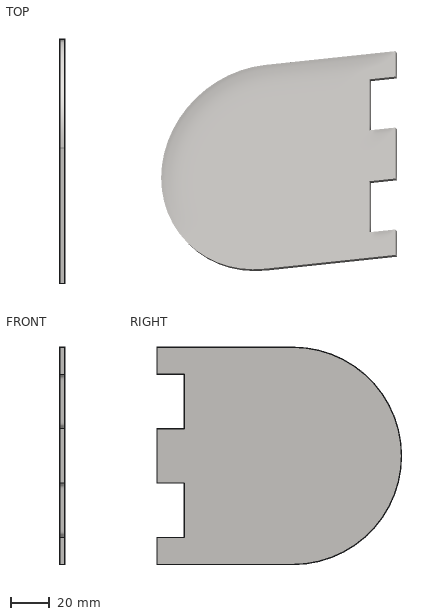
import cadquery as cq

thickness = 2.8
height = 112.0
straight_length = 70.0
notch_depth = 14.0
notch_height = 28.0
notch_pitch = 56.0

end_radius = height / 2


def make_plate():
    """Upright plate in the YZ plane, with a semicircular end toward +Y."""
    return (
        cq.Workplane("YZ")
        .moveTo(0, -end_radius)
        .lineTo(straight_length, -end_radius)
        .threePointArc((straight_length + end_radius, 0), (straight_length, end_radius))
        .lineTo(0, end_radius)
        .close()
        .extrude(thickness)
    )


def make_notch(center_z):
    """Rectangular block that opens one notch in the straight -Y edge."""
    return (
        cq.Workplane("YZ")
        .center(notch_depth / 2, center_z)
        .rect(notch_depth, notch_height)
        .extrude(thickness)
    )


result = make_plate()
for side in (-1, 1):
    result = result.cut(make_notch(side * notch_pitch / 2))